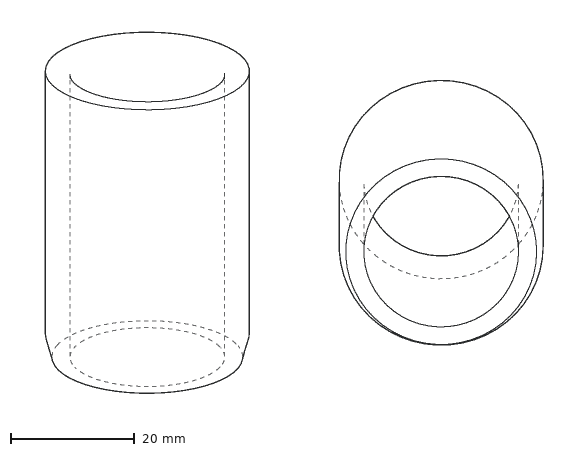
import cadquery as cq
import math

length = 50.0
outer_diameter = 33.0
bore_diameter = 25.0
lead_in_height = 4.0
lead_in_angle = 15.0
bore_edge_radius = 0.75

outer_radius = outer_diameter / 2
lead_in_inset = lead_in_height * math.tan(math.radians(lead_in_angle))

body = (
    cq.Workplane("XY")
    .circle(outer_radius)
    .extrude(length)
    .faces("<Z")
    .edges()
    .chamfer(lead_in_height, lead_in_inset)
)

bore = cq.Workplane("XY").circle(bore_diameter / 2).extrude(length)
sleeve = body.cut(bore)

result = sleeve.faces(">Z").edges(cq.selectors.RadiusNthSelector(0)).fillet(bore_edge_radius)